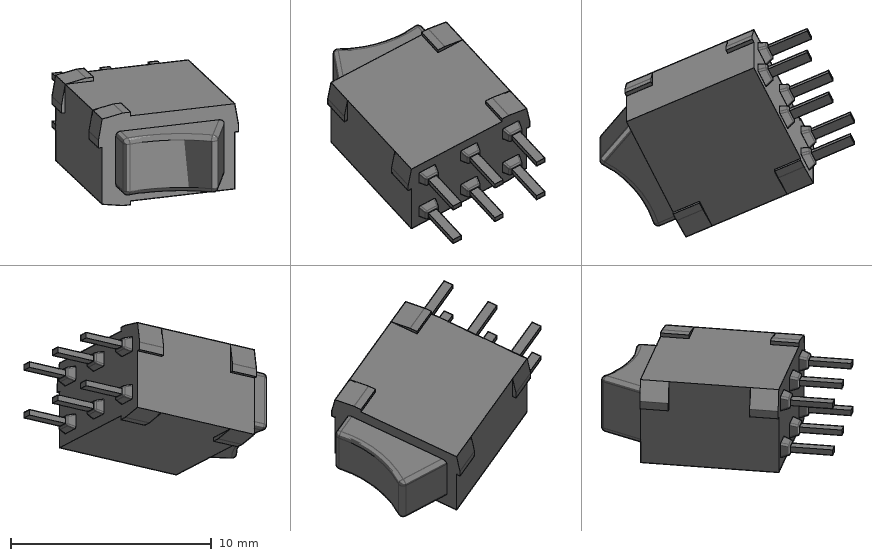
import cadquery as cq
import math

total_length = 11.91
housing_length = 7.0
housing_width = 7.0
housing_height = 4.5
pin_reach = 2.6
back_x = -total_length / 2 + pin_reach
front_x = back_x + housing_length

snap_length = 1.44
snap_depth = 1.5
snap_flat = 0.4
overall_height = 4.9
snap_rise = (overall_height - housing_height) / 2

pin_pitch = 2.54
pin_width = 0.5
pin_thickness = 0.3
collar_width = 1.01
collar_thickness = 0.8
collar_length = 0.45
collar_draft = 16.0
collar_fillet = 0.1

rocker_thickness = 3.0
rocker_tilt = 13.4
pivot_depth = 0.36
tip_distance = 2.32
tip_half_width = 2.31
finger_sag = 0.5
root_depth = 0.6
rocker_fillet = 0.25


def make_housing():
    block = cq.Workplane("XY").box(housing_length, housing_width, housing_height)
    return block.translate((back_x + housing_length / 2, 0, 0))


def make_top_snap(start_x):
    """Wedge standing on the top face, rising from the -Y edge to a flat crest."""
    edge_y = -housing_width / 2
    top_z = housing_height / 2
    crest_z = top_z + snap_rise
    return (
        cq.Workplane("YZ", origin=(start_x, 0, 0))
        .moveTo(edge_y, top_z)
        .lineTo(edge_y + snap_depth - snap_flat, crest_z)
        .lineTo(edge_y + snap_depth, crest_z)
        .lineTo(edge_y + snap_depth, top_z)
        .close()
        .extrude(snap_length)
    )


def make_side_snap(start_x):
    """Wedge standing on the -Y face, rising from the top edge to a flat crest."""
    side_y = -housing_width / 2
    crest_y = side_y - snap_rise
    edge_z = housing_height / 2
    return (
        cq.Workplane("YZ", origin=(start_x, 0, 0))
        .moveTo(side_y, edge_z)
        .lineTo(crest_y, edge_z - snap_depth + snap_flat)
        .lineTo(crest_y, edge_z - snap_depth)
        .lineTo(side_y, edge_z - snap_depth)
        .close()
        .extrude(snap_length)
    )


def make_terminal():
    """Pin and collar on the X axis, pointing toward -X from the back face."""
    back_plane = cq.Plane(origin=(back_x, 0, 0), xDir=(0, -1, 0), normal=(-1, 0, 0))
    collar = (
        cq.Workplane(back_plane)
        .rect(collar_width, collar_thickness)
        .extrude(collar_length, taper=collar_draft)
        .edges("not >X")
        .fillet(collar_fillet)
    )
    pin = cq.Workplane(back_plane).rect(pin_width, pin_thickness).extrude(pin_reach)
    return collar.union(pin)


def make_rocker():
    """Flared wedge with a concave finger face, rounded everywhere but at its root."""
    root_half_width = tip_half_width + (tip_distance + root_depth) * math.tan(math.radians(rocker_tilt))
    rocker = (
        cq.Workplane("XY")
        .moveTo(-root_depth, -root_half_width)
        .lineTo(tip_distance, -tip_half_width)
        .threePointArc((tip_distance - finger_sag, 0), (tip_distance, tip_half_width))
        .lineTo(-root_depth, root_half_width)
        .close()
        .extrude(rocker_thickness / 2, both=True)
        .edges("not <X")
        .fillet(rocker_fillet)
    )
    return rocker.rotate((0, 0, 0), (0, 0, 1), -rocker_tilt).translate((front_x - pivot_depth, 0, 0))


result = make_housing()

for snap_x in (back_x, front_x - snap_length):
    top_snap = make_top_snap(snap_x)
    side_snap = make_side_snap(snap_x)
    result = result.union(top_snap).union(top_snap.mirror("XY"))
    result = result.union(side_snap).union(side_snap.mirror("XZ"))

terminal = make_terminal()
for terminal_y in (-pin_pitch, 0, pin_pitch):
    for terminal_z in (-pin_pitch / 2, pin_pitch / 2):
        result = result.union(terminal.translate((0, terminal_y, terminal_z)))

result = result.union(make_rocker())